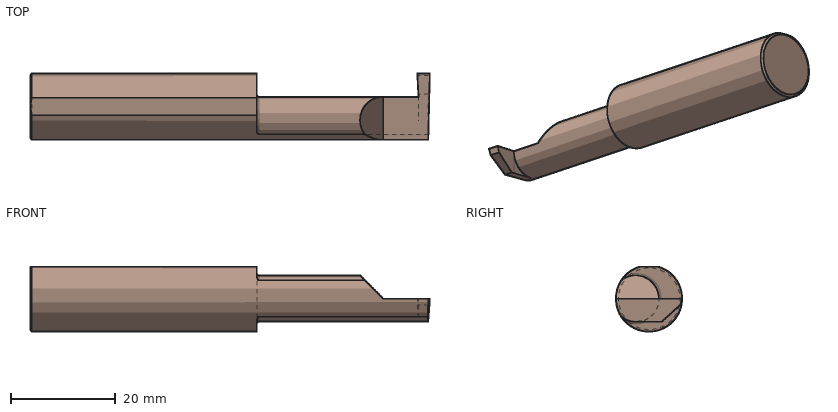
import cadquery as cq
import math

total_length = 76.2
shank_diameter = 12.65
shank_radius = shank_diameter / 2
shank_length = 43.2
flat_height = 6.1
chamfer_length = 0.3
chamfer_depth = 0.45

neck_radius = 4.4
neck_center_y = -2.55
neck_side_y = neck_center_y + neck_radius
root_fillet = 0.4

ramp_foot = 67.3
ramp_rise = shank_diameter

tooth_width = 2.45
tooth_back_taper = 0.2
tooth_land_height = 1.2
tooth_land_relief = 0.4
tooth_heel_y = 2.45
end_side_relief = 0.3
end_front_angle = 3.0


def make_blank():
    """Chamfered round bar with the flat along its shank."""
    blank = (
        cq.Workplane("XZ")
        .lineTo(0, shank_radius - chamfer_depth)
        .lineTo(chamfer_length, shank_radius)
        .lineTo(total_length, shank_radius)
        .lineTo(total_length, 0)
        .close()
        .revolve(360, (0, 0, 0), (1, 0, 0))
    )
    above_flat = (
        cq.Workplane("XY", origin=(0, 0, flat_height))
        .rect(2 * shank_length, shank_diameter)
        .extrude(shank_radius)
    )
    return blank.cut(above_flat)


def neck_cut():
    """Ring of material removed around the neck, leaving a concave root fillet."""
    arc_offset = root_fillet * (1 - math.sqrt(0.5))
    return (
        cq.Workplane("XZ", origin=(0, neck_center_y, 0))
        .moveTo(shank_length, shank_diameter)
        .lineTo(shank_length, neck_radius + root_fillet)
        .threePointArc(
            (shank_length + arc_offset, neck_radius + arc_offset),
            (shank_length + root_fillet, neck_radius),
        )
        .lineTo(total_length, neck_radius)
        .lineTo(total_length, shank_diameter)
        .close()
        .revolve(360, (0, 0, 0), (1, 0, 0))
    )


def make_tooth():
    """Hooked tooth below the rake face, with its underside sloping back to the neck."""
    tooth_start = total_length - tooth_width
    plan = (
        cq.Workplane("XY")
        .moveTo(tooth_start, shank_radius)
        .lineTo(total_length, shank_radius)
        .lineTo(total_length, neck_center_y)
        .lineTo(tooth_start + tooth_back_taper, neck_center_y)
        .lineTo(tooth_start + tooth_back_taper, neck_side_y)
        .close()
        .extrude(-neck_radius)
    )
    clearance = (
        cq.Workplane("YZ")
        .moveTo(neck_center_y, 0)
        .lineTo(shank_radius, 0)
        .lineTo(shank_radius - tooth_land_relief, -tooth_land_height)
        .lineTo(tooth_heel_y, -neck_radius)
        .lineTo(neck_center_y, -neck_radius)
        .close()
        .extrude(total_length)
    )
    return plan.intersect(clearance)


def rake_cut():
    """Material removed above the rake face and its 45 degree ramp."""
    return (
        cq.Workplane("XZ")
        .moveTo(ramp_foot - ramp_rise, ramp_rise)
        .lineTo(ramp_foot, 0)
        .lineTo(total_length, 0)
        .lineTo(total_length, ramp_rise)
        .close()
        .extrude(shank_radius, both=True)
    )


def end_relief_cut():
    """Wedge that tilts the end face back, away from the tooth's corner."""
    side_angle = math.degrees(math.atan(end_side_relief / shank_diameter))
    wedge = cq.Workplane("XY").box(
        shank_diameter, 4 * shank_diameter, 4 * shank_diameter, centered=(False, True, True)
    )
    wedge = wedge.rotate((0, 0, 0), (0, 1, 0), end_front_angle)
    wedge = wedge.rotate((0, 0, 0), (0, 0, 1), -side_angle)
    return wedge.translate((total_length, shank_radius, 0))


result = make_blank().cut(neck_cut()).cut(rake_cut()).union(make_tooth()).cut(end_relief_cut())